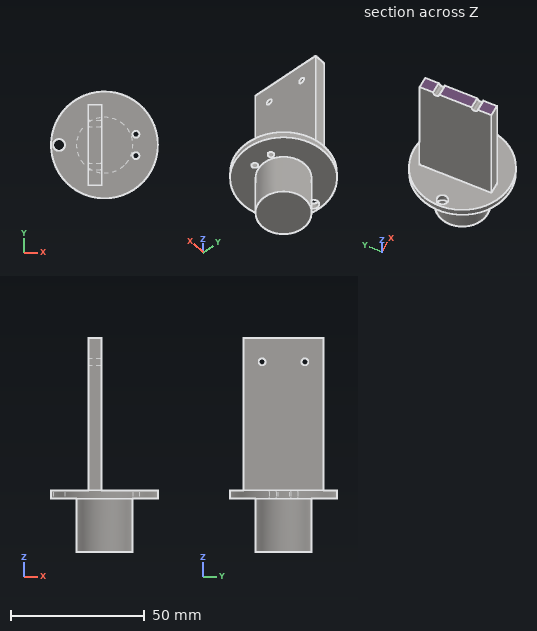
import cadquery as cq

flange_diameter = 40
flange_thickness = 3.0
spigot_diameter = 21.0
spigot_height = 20
total_height = 80
flange_top = spigot_height + flange_thickness

plate_thickness = 5.0
plate_width = 30.0
plate_left_x = -6.0
plate_height = total_height - flange_top

small_hole_diameter = 2.5
large_hole_diameter = 4.3
large_hole_x = -17.0
flange_hole_x = 11.8
flange_hole_spacing = 8
plate_hole_spacing = 16
plate_hole_drop = 9.0


def pair_along_y(x, spacing):
    """Two points at the given X, mirrored about Y = 0."""
    return [(x, -spacing / 2), (x, spacing / 2)]


spigot = cq.Workplane("XY").circle(spigot_diameter / 2).extrude(spigot_height)
flange = (
    cq.Workplane("XY", origin=(0, 0, spigot_height))
    .circle(flange_diameter / 2)
    .extrude(flange_thickness)
)

flange_holes = (
    cq.Workplane("XY", origin=(0, 0, spigot_height))
    .pushPoints(pair_along_y(flange_hole_x, flange_hole_spacing))
    .circle(small_hole_diameter / 2)
    .extrude(flange_thickness)
)
large_hole = (
    cq.Workplane("XY", origin=(large_hole_x, 0, spigot_height))
    .circle(large_hole_diameter / 2)
    .extrude(flange_thickness)
)

plate = cq.Workplane("XY", origin=(plate_left_x, 0, flange_top)).box(
    plate_thickness, plate_width, plate_height, centered=(False, True, False)
)
plate_holes = (
    cq.Workplane("YZ", origin=(plate_left_x, 0, total_height - plate_hole_drop))
    .pushPoints([(y, 0) for _, y in pair_along_y(0, plate_hole_spacing)])
    .circle(small_hole_diameter / 2)
    .extrude(plate_thickness)
)

base = spigot.union(flange).cut(flange_holes).cut(large_hole)
result = base.union(plate.cut(plate_holes))